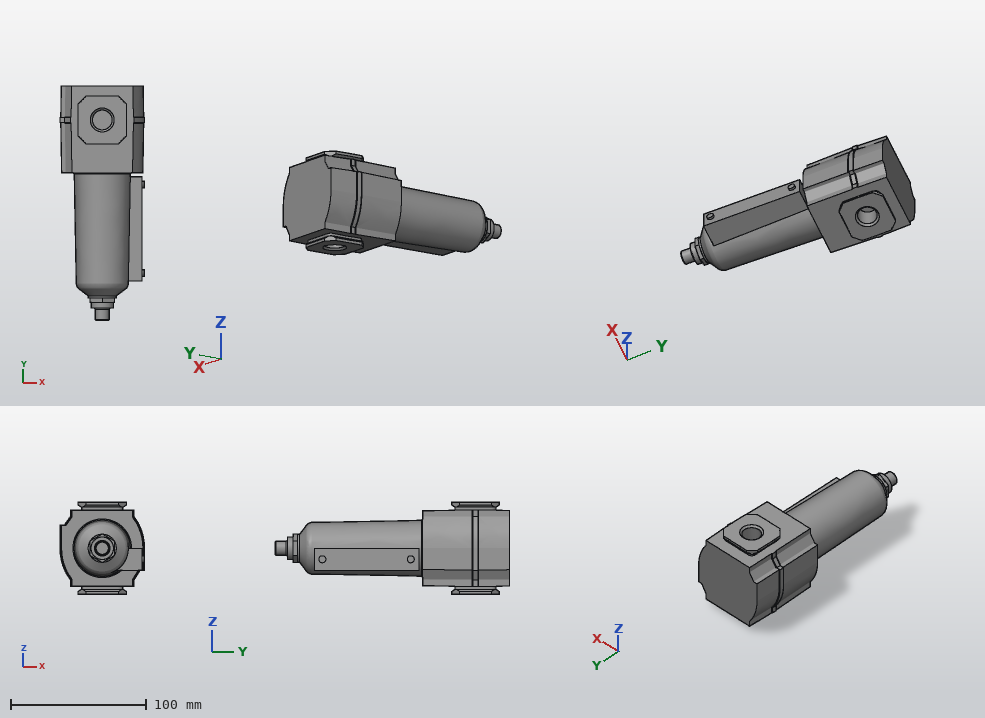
import cadquery as cq
import math


overall_length = 172.8
overall_width = 62.4
overall_height = 68.0

head_back = 25.0
head_front = -38.9
band_height = 0.5
head_half_width = overall_width / 2 - band_height
head_half_height = 28.3
shoulder_half_width = 23.0
shoulder_z = 23.3
ledge_x = 27.3
left_ledge_z = 17.3
right_ledge_z = -16.2
head_draft = 1.0

band_rim_half = 1.7
band_front_bevel = 0.9
band_back_bevel = 0.5

port_face_z = overall_height / 2
plate_half_x = 18.0
plate_half_y = 17.6
plate_corner_cut = 6.0
plate_rim_depth = 2.0
plate_base_z = 30.2
neck_half_side = 15.2
neck_corner_radius = 3.5
plate_bevel_depth = port_face_z - plate_rim_depth - plate_base_z
plate_bevel_angle = math.degrees(math.atan2(plate_half_y - neck_half_side, plate_bevel_depth))
bore_radius = 7.3
bore_chamfer = 1.5
bore_depth = 17.3

flare_radius = 21.6
flare_end = -40.0
bowl_top_radius = 20.7
bowl_end_radius = 19.2
cone_start = -123.0
cone_end = -129.6
cone_round = 4.8
collar_radius = 10.4
collar_end = -131.2

block_x = 29.4
block_back = -41.6
block_front = -118.7
block_depth = -right_ledge_z
stud_radius = 2.6
stud_tip_x = 31.1
stud_places = (-47.7, -112.8)

hex_across_corners = 21.0
hex_end = -134.5
drain_body_radius = 8.3
drain_body_end = -138.5
spout_cone_radius = 5.7
spout_cone_end = -139.6
spout_radius = 5.2
spout_chamfer = 0.7
drain_end = head_back - overall_length


def head_outline(outset, half_height):
    """Outline with a step on each side and an arc across from it; sides move outwards by `outset`."""
    side = head_half_width + outset
    shoulder = shoulder_half_width + outset
    ledge = ledge_x + outset
    rise = side - shoulder
    arc_radius = (rise**2 + shoulder_z**2) / (2 * rise)
    half_angle = math.asin(shoulder_z / arc_radius) / 2
    arc_x = side - arc_radius * (1 - math.cos(half_angle))
    arc_z = arc_radius * math.sin(half_angle)
    return (
        cq.Workplane("XZ")
        .moveTo(-shoulder, half_height)
        .lineTo(shoulder, half_height)
        .lineTo(shoulder, shoulder_z)
        .threePointArc((arc_x, arc_z), (side, 0))
        .lineTo(side, right_ledge_z)
        .lineTo(ledge, right_ledge_z)
        .lineTo(shoulder, -shoulder_z)
        .lineTo(shoulder, -half_height)
        .lineTo(-shoulder, -half_height)
        .lineTo(-shoulder, -shoulder_z)
        .threePointArc((-arc_x, -arc_z), (-side, 0))
        .lineTo(-side, left_ledge_z)
        .lineTo(-ledge, left_ledge_z)
        .lineTo(-shoulder, shoulder_z)
        .close()
    )


def make_head_block():
    front = head_outline(0, head_half_height).extrude(-head_front, taper=head_draft)
    back = head_outline(0, head_half_height).extrude(head_back, taper=head_draft).mirror("XZ")
    return front.union(back)


def make_band_half(bevel_length):
    """Front half of the band: a flat rim, then a bevel down to the head, flush at top and bottom."""
    tall = head_half_height + 2 * band_height
    bevel_angle = math.degrees(math.atan2(band_height, bevel_length))
    rim = head_outline(band_height, tall).extrude(band_rim_half)
    bevel = head_outline(band_height, tall).extrude(bevel_length, taper=bevel_angle)
    flush = (
        cq.Workplane("XZ")
        .rect(4 * head_half_width, 2 * head_half_height)
        .extrude(band_rim_half + bevel_length, taper=head_draft)
    )
    return rim.union(bevel.translate((0, -band_rim_half, 0))).intersect(flush)


def make_band():
    return make_band_half(band_front_bevel).union(make_band_half(band_back_bevel).mirror("XZ"))


def make_port():
    """Upper port: neck and corner-cut plate with drafted sides and a bevelled underside."""
    neck = (
        cq.Workplane("XY")
        .rect(2 * neck_half_side, 2 * neck_half_side)
        .extrude(plate_base_z)
        .edges("|Z")
        .fillet(neck_corner_radius)
    )
    rim_z = port_face_z - plate_rim_depth
    rim = (
        cq.Workplane("XY", origin=(0, 0, rim_z))
        .rect(2 * plate_half_x, 2 * plate_half_y)
        .extrude(plate_rim_depth)
    )
    bevel = (
        cq.Workplane("XY", origin=(0, 0, -rim_z))
        .rect(2 * plate_half_x, 2 * plate_half_y)
        .extrude(plate_bevel_depth, taper=plate_bevel_angle)
        .mirror("XY")
    )
    corner_cut = (
        cq.Workplane("XY")
        .rect(2 * plate_half_x, 2 * plate_half_y)
        .extrude(port_face_z)
        .edges("|Z")
        .chamfer(plate_corner_cut)
    )
    drafted_half = (
        cq.Workplane("XZ")
        .rect(2 * plate_half_x, 4 * port_face_z)
        .extrude(plate_half_y, taper=head_draft)
    )
    drafted_sides = drafted_half.union(drafted_half.mirror("XZ"))
    plate = rim.union(bevel).intersect(corner_cut).intersect(drafted_sides)
    return neck.union(plate)


def make_port_bore():
    """Blind bore of the upper port with a chamfered mouth."""
    floor_z = port_face_z - bore_depth
    return (
        cq.Workplane("XZ")
        .moveTo(0, floor_z)
        .lineTo(bore_radius, floor_z)
        .lineTo(bore_radius, port_face_z - bore_chamfer)
        .lineTo(bore_radius + bore_chamfer, port_face_z)
        .lineTo(0, port_face_z)
        .close()
        .revolve(360, (0, 0), (0, 1))
    )


def make_head():
    head = make_head_block().union(make_band())
    port = make_port()
    bore = make_port_bore()
    head = head.union(port).union(port.mirror("XY"))
    return head.cut(bore).cut(bore.mirror("XY"))


def make_bowl():
    shell = (
        cq.Workplane("XY")
        .moveTo(0, head_front)
        .lineTo(flare_radius, head_front)
        .lineTo(bowl_top_radius, flare_end)
        .lineTo(bowl_end_radius, cone_start)
        .lineTo(collar_radius, cone_end)
        .lineTo(collar_radius, collar_end)
        .lineTo(0, collar_end)
        .close()
        .revolve(360, (0, 0), (0, 1))
    )
    cone_edge = cq.selectors.NearestToPointSelector((0, cone_start, 0))
    shell = shell.edges(cone_edge).fillet(cone_round)
    block = cq.Workplane("XY").box(block_x, block_back - block_front, block_depth, centered=False)
    bowl = shell.union(block.translate((0, block_front, -block_depth)))
    for stud_y in stud_places:
        stud = cq.Workplane("YZ", origin=(block_x, stud_y, -block_depth / 2)).circle(stud_radius)
        bowl = bowl.union(stud.extrude(stud_tip_x - block_x))
    return bowl


def make_drain():
    hex_nut = (
        cq.Workplane("XZ", origin=(0, collar_end, 0))
        .transformed(rotate=(0, 0, 90))
        .polygon(6, hex_across_corners)
        .extrude(collar_end - hex_end)
    )
    stem = (
        cq.Workplane("XY")
        .moveTo(0, hex_end)
        .lineTo(drain_body_radius, hex_end)
        .lineTo(drain_body_radius, drain_body_end)
        .lineTo(spout_cone_radius, drain_body_end)
        .lineTo(spout_radius, spout_cone_end)
        .lineTo(spout_radius, drain_end + spout_chamfer)
        .lineTo(spout_radius - spout_chamfer, drain_end)
        .lineTo(0, drain_end)
        .close()
        .revolve(360, (0, 0), (0, 1))
    )
    return hex_nut.union(stem)


head = make_head()
bowl = make_bowl()
drain = make_drain()
result = cq.Compound.makeCompound([head.val(), bowl.val(), drain.val()])